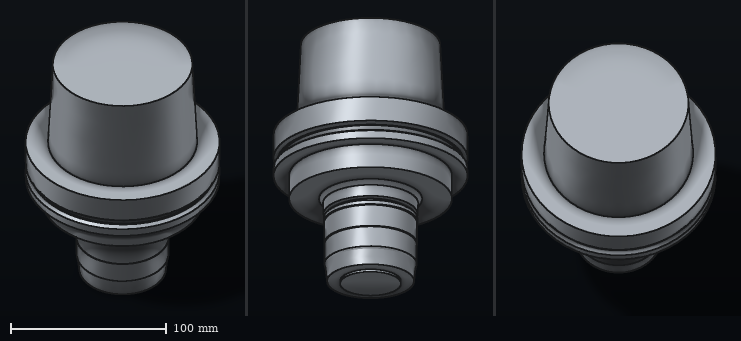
import cadquery as cq

total_height = 167.0

head_top_diameter = 90.0
head_base_diameter = 96.2

flange_diameter = 125.0
flange_top = 104.2
flange_bottom = 75.3
groove_diameter = 117.0
groove_top = 86.0
groove_bottom = 82.3
groove_chamfer_height = 1.7
groove_chamfer_width = 2.7

collar_diameter = 105.0
collar_bottom = 59.3

cone_top_diameter = 66.5
cone_bottom = 56.1
neck_top_diameter = 61.5
shank_diameter = 60.6

retaining_diameter = 52.0
retaining_top = 48.6
retaining_bottom = 45.6
flare_height = 0.8
flare_width = 0.8

upper_band_bottom = 43.0
large_band_diameter = 60.0
large_band_bottom = 27.9
step_height = 0.5
small_band_diameter = 59.5
small_band_bottom = 13.7

tip_top = 12.2
tip_top_diameter = 58.5
tip_bottom_diameter = 56.1
pad_diameter = 39.2
pad_height = 1.7


def cone_section(bottom, top, bottom_diameter, top_diameter):
    """Solid of revolution about Z with a straight side."""
    return (
        cq.Workplane("XZ")
        .polyline([
            (0, bottom),
            (bottom_diameter / 2, bottom),
            (top_diameter / 2, top),
            (0, top),
        ])
        .close()
        .revolve(360, (0, 0, 0), (0, 1, 0))
    )


def cylinder_section(bottom, top, diameter):
    return cone_section(bottom, top, diameter, diameter)


def make_head():
    return cone_section(flange_top, total_height, head_base_diameter, head_top_diameter)


def make_flange():
    chamfer_diameter = flange_diameter - 2 * groove_chamfer_width
    upper_edge = groove_top + groove_chamfer_height
    lower_edge = groove_bottom - groove_chamfer_height
    return (
        cylinder_section(upper_edge, flange_top, flange_diameter)
        .union(cone_section(groove_top, upper_edge, chamfer_diameter, flange_diameter))
        .union(cylinder_section(groove_bottom, groove_top, groove_diameter))
        .union(cone_section(lower_edge, groove_bottom, flange_diameter, chamfer_diameter))
        .union(cylinder_section(flange_bottom, lower_edge, flange_diameter))
    )


def make_collar_and_neck():
    flare_diameter = retaining_diameter + 2 * flare_width
    flare_top = retaining_bottom + flare_height
    return (
        cylinder_section(collar_bottom, flange_bottom, collar_diameter)
        .union(cone_section(cone_bottom, collar_bottom, neck_top_diameter, cone_top_diameter))
        .union(cone_section(retaining_top, cone_bottom, shank_diameter, neck_top_diameter))
        .union(cylinder_section(flare_top, retaining_top, retaining_diameter))
        .union(cone_section(retaining_bottom, flare_top, flare_diameter, retaining_diameter))
    )


def make_shank():
    large_band_top = upper_band_bottom - step_height
    small_band_top = large_band_bottom - step_height
    return (
        cylinder_section(upper_band_bottom, retaining_bottom, shank_diameter)
        .union(cone_section(large_band_top, upper_band_bottom, large_band_diameter, shank_diameter))
        .union(cylinder_section(large_band_bottom, large_band_top, large_band_diameter))
        .union(cone_section(small_band_top, large_band_bottom, small_band_diameter, large_band_diameter))
        .union(cylinder_section(small_band_bottom, small_band_top, small_band_diameter))
        .union(cone_section(tip_top, small_band_bottom, tip_top_diameter, small_band_diameter))
        .union(cone_section(pad_height, tip_top, tip_bottom_diameter, tip_top_diameter))
        .union(cylinder_section(0, pad_height, pad_diameter))
    )


result = (
    make_head()
    .union(make_flange())
    .union(make_collar_and_neck())
    .union(make_shank())
)